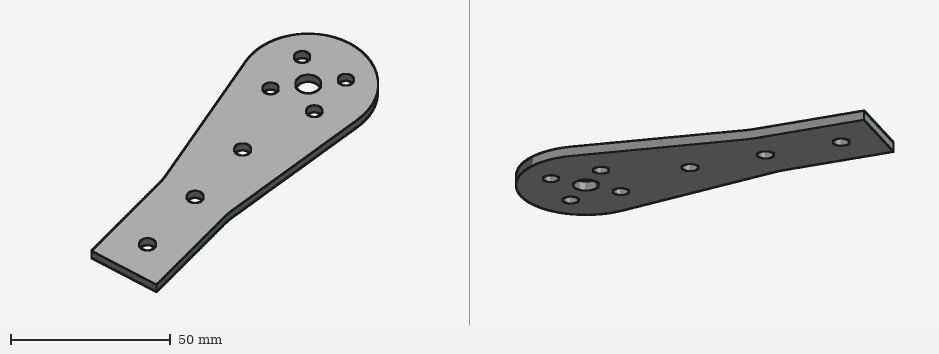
import cadquery as cq
import math

length = 120.6
thickness = 3.3
head_radius = 22.0
arm_width = 25.2
shoulder_height = 38.4
shoulder_radius = 25.0

center_bore = 8.1
head_hole = 5.1
head_hole_spacing = 16.9
arm_hole = 5.3
arm_hole_spacing = 25.5
first_arm_hole = 12.7
arm_hole_count = 3

head_y = length - head_radius
half_arm = arm_width / 2

shoulder_rise = head_y - shoulder_height
center_distance = math.hypot(half_arm, shoulder_rise)
taper_angle = math.asin(head_radius / center_distance) - math.atan2(half_arm, shoulder_rise)
tangent_x = head_radius * math.cos(taper_angle)
tangent_y = head_y - head_radius * math.sin(taper_angle)


def make_plate():
    plate = (
        cq.Workplane("XY")
        .moveTo(-half_arm, 0)
        .lineTo(half_arm, 0)
        .lineTo(half_arm, shoulder_height)
        .lineTo(tangent_x, tangent_y)
        .threePointArc((0, length), (-tangent_x, tangent_y))
        .lineTo(-half_arm, shoulder_height)
        .close()
        .extrude(thickness)
    )
    shoulders = cq.selectors.BoxSelector(
        (-arm_width, shoulder_height - half_arm, -thickness),
        (arm_width, shoulder_height + half_arm, 2 * thickness),
    )
    return plate.edges("|Z").edges(shoulders).fillet(shoulder_radius)


def hole_cutter(points, diameter):
    return cq.Workplane("XY").pushPoints(points).circle(diameter / 2).extrude(thickness)


half_pattern = head_hole_spacing / 2
head_points = [(sx * half_pattern, head_y + sy * half_pattern) for sx in (-1, 1) for sy in (-1, 1)]
arm_points = [(0, first_arm_hole + i * arm_hole_spacing) for i in range(arm_hole_count)]

result = (
    make_plate()
    .cut(hole_cutter([(0, head_y)], center_bore))
    .cut(hole_cutter(head_points, head_hole))
    .cut(hole_cutter(arm_points, arm_hole))
)